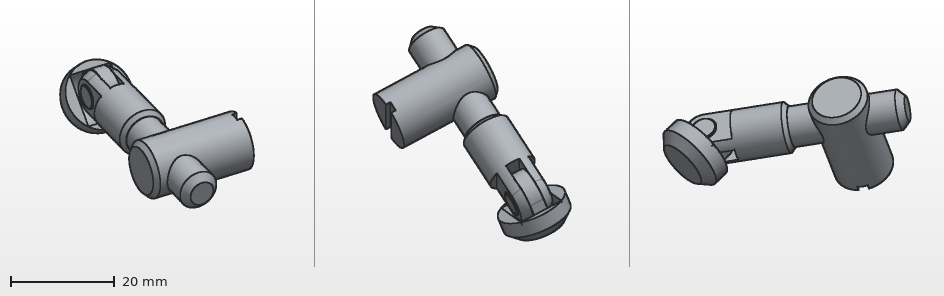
import cadquery as cq


body_radius = 5.0
body_end = 16.6
body_chamfer = 0.9
rod_radius = 4.0
rod_end = 39.55
rod_chamfer = 1.5
fork_width = 7.05
fork_depth = 5.6
tongue_width = 3.0

pin_radius = 2.5
pin_projection = 0.25
pin_chamfer = 0.25

foot_tilt = 45
foot_radius = 7.0
foot_rim = 3.15
foot_chamfer = 2.0
foot_face_offset = 2.05
recess_radius = 5.7
recess_width = 9.0

barrel_x = 27.1
barrel_radius = 5.9
barrel_front = -6.55
barrel_back = 15.05
barrel_chamfer = 1.0
driver_slot_width = 2.0
driver_slot_depth = 1.0


def cylinder_x(radius, start, end):
    return cq.Workplane("YZ", origin=(start, 0, 0)).circle(radius).extrude(end - start)


def cylinder_y(radius, start, end):
    return cq.Workplane("XZ", origin=(0, end, 0)).circle(radius).extrude(end - start)


def centered_y(radius, width):
    return cylinder_y(radius, -width / 2, width / 2)


def make_rod():
    body = cylinder_x(body_radius, 0, body_end).faces(">X").chamfer(body_chamfer)
    shank = cylinder_x(rod_radius, 0, rod_end).faces(">X").chamfer(rod_chamfer)
    rod = body.union(cq.Workplane("XY").sphere(body_radius)).union(shank)

    fork_length = body_radius + fork_depth
    fork_middle = fork_depth - fork_length / 2
    fork_height = 2 * body_radius
    fork_space = cq.Workplane("XY", origin=(fork_middle, 0, 0))
    around = fork_space.box(fork_length, fork_height, fork_height)
    arms = fork_space.box(fork_length, fork_width, fork_height)
    slot = fork_space.box(fork_length, tongue_width, fork_height)
    rod = rod.cut(around.cut(arms)).cut(slot)
    return rod.cut(centered_y(pin_radius, fork_width))


def make_pin():
    pin = centered_y(pin_radius, fork_width + 2 * pin_projection)
    return pin.faces("<Y or >Y").chamfer(pin_chamfer)


def make_foot():
    thickness = foot_rim + foot_chamfer
    disc_bottom = -foot_face_offset - thickness
    disc = cq.Workplane("XY", origin=(0, 0, disc_bottom)).circle(foot_radius).extrude(thickness)
    disc = disc.faces("<Z").chamfer(foot_chamfer)
    disc = disc.cut(centered_y(recess_radius, recess_width))

    tongue_length = foot_face_offset + foot_rim
    stem = cq.Workplane("XY", origin=(0, 0, -tongue_length / 2))
    stem = stem.box(2 * body_radius, tongue_width, tongue_length)
    tongue = stem.union(centered_y(body_radius, tongue_width))
    foot = disc.union(tongue).cut(centered_y(pin_radius, tongue_width))
    return foot.rotate((0, 0, 0), (0, 1, 0), foot_tilt)


def make_barrel():
    barrel = cylinder_y(barrel_radius, barrel_front, barrel_back)
    barrel = barrel.faces("<Y").chamfer(barrel_chamfer)
    slot = cq.Workplane("XY", origin=(0, barrel_back - driver_slot_depth / 2, 0))
    barrel = barrel.cut(slot.box(driver_slot_width, driver_slot_depth, 2 * barrel_radius))
    barrel = barrel.cut(cylinder_x(rod_radius, -barrel_radius, barrel_radius))
    return barrel.translate((barrel_x, 0, 0))


rod = make_rod()
pin = make_pin()
foot = make_foot()
barrel = make_barrel()

bodies = [rod, pin, foot, barrel]
result = cq.Compound.makeCompound([body.solids().val() for body in bodies])